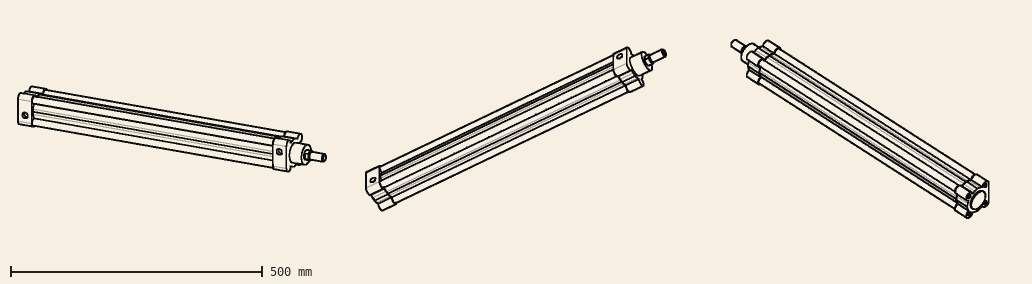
import cadquery as cq
import math


overall_length = 679.0
pilot_depth = 3.0
cap_length = 31.0
barrel_length = 545.0
nose_length = 27.0
rear_cap_start = pilot_depth
barrel_start = rear_cap_start + cap_length
front_cap_start = barrel_start + barrel_length
nose_start = front_cap_start + cap_length
rod_start = nose_start + nose_length

half_width = 32.5
screw_offset = 23.0
cap_lobe_radius = half_width - screw_offset
cap_round_radius = 28.5
cap_ridge_half_width = 7.5
barrel_lobe_radius = 7.5
barrel_round_radius = 27.0
barrel_ridge_half_width = 5.5
pilot_radius = 20.5

recess_radius = 4.0
recess_depth = 4.0
socket_radius = 3.05
socket_depth = 7.0

port_radius = 6.0
port_depth = 8.0
port_offset = 9.0
port_inset = 16.0

rod_radius = 10.0
rod_shoulder_length = 11.5
shoulder_chamfer = 2.0
flat_half_width = 8.5
flat_start_gap = 2.0
flat_length = 7.5
thread_radius = 8.0
thread_chamfer = 2.0


def cylinder(start, length, radius):
    """Cylinder on the axis of the part."""
    return cq.Workplane("YZ", origin=(start, 0, 0)).circle(radius).extrude(length)


def corner_cylinders(start, length, radius):
    """Four cylinders on the screw axes."""
    pitch = 2 * screw_offset
    return (
        cq.Workplane("YZ", origin=(start, 0, 0))
        .rect(pitch, pitch, forConstruction=True)
        .vertices()
        .circle(radius)
        .extrude(length)
    )


def ridged_cylinder(start, length, radius, ridge_half_width):
    """Cylinder with four low ridges, each the peak where two tangents of the circle meet."""
    tangent_height = math.sqrt(radius**2 - ridge_half_width**2)
    peak_height = radius**2 / tangent_height
    ridge_outline = [
        (0, 0),
        (ridge_half_width, tangent_height),
        (0, peak_height),
        (-ridge_half_width, tangent_height),
    ]
    ridge = cq.Workplane("YZ", origin=(start, 0, 0)).polyline(ridge_outline).close().extrude(length)
    body = cylinder(start, length, radius)
    for angle in (0, 90, 180, 270):
        body = body.union(ridge.rotate((0, 0, 0), (1, 0, 0), angle))
    return body


def cap_block(start):
    """Ridged round block with four screw lobes, closed by a flat wall on the port side."""
    port_wall = cq.Workplane("XY").box(
        cap_length, cap_lobe_radius, 2 * screw_offset, centered=(False, False, True)
    )
    port_wall = port_wall.translate((start, -half_width, 0))
    block = ridged_cylinder(start, cap_length, cap_round_radius, cap_ridge_half_width)
    return block.union(corner_cylinders(start, cap_length, cap_lobe_radius)).union(port_wall)


def port(x, z):
    """Cutter for a blind port, sunk from the -Y face."""
    workplane = cq.Workplane("XZ", origin=(x, -half_width, z))
    return workplane.circle(port_radius).extrude(-port_depth)


def make_rear_cap():
    """Rear cap with a pilot disc, four stepped screw recesses and the low port."""
    cap = cap_block(rear_cap_start).union(cylinder(0, pilot_depth, pilot_radius))
    cap = cap.cut(corner_cylinders(rear_cap_start, recess_depth, recess_radius))
    cap = cap.cut(corner_cylinders(rear_cap_start, socket_depth, socket_radius))
    return cap.cut(port(rear_cap_start + port_inset, -port_offset))


def make_barrel():
    """Ridged round barrel with a smaller lobe over each screw axis."""
    barrel = ridged_cylinder(
        barrel_start, barrel_length, barrel_round_radius, barrel_ridge_half_width
    )
    return barrel.union(corner_cylinders(barrel_start, barrel_length, barrel_lobe_radius))


def make_front_cap():
    """Front cap with a round nose, which the rod end butts against, and the high port."""
    cap = cap_block(front_cap_start).union(cylinder(nose_start, nose_length, pilot_radius))
    return cap.cut(port(nose_start - port_inset, port_offset))


def make_rod():
    """Rod end: shoulder with two wrench flats, then the chamfered thread."""
    thread_start = rod_start + rod_shoulder_length
    shoulder = cylinder(rod_start, rod_shoulder_length, rod_radius)
    shoulder = shoulder.faces(">X").chamfer(shoulder_chamfer)
    for side in (-1, 1):
        flat_cut = cq.Workplane("XY").box(
            flat_length, rod_radius, 2 * rod_radius, centered=(False, True, True)
        )
        flat_y = side * (flat_half_width + rod_radius / 2)
        shoulder = shoulder.cut(flat_cut.translate((rod_start + flat_start_gap, flat_y, 0)))
    thread = cylinder(thread_start, overall_length - thread_start, thread_radius)
    return shoulder.union(thread.faces(">X").chamfer(thread_chamfer))


rear_cap = make_rear_cap()
barrel = make_barrel()
front_cap = make_front_cap()
rod = make_rod()

result = cq.Compound.makeCompound([rear_cap.val(), barrel.val(), front_cap.val(), rod.val()])